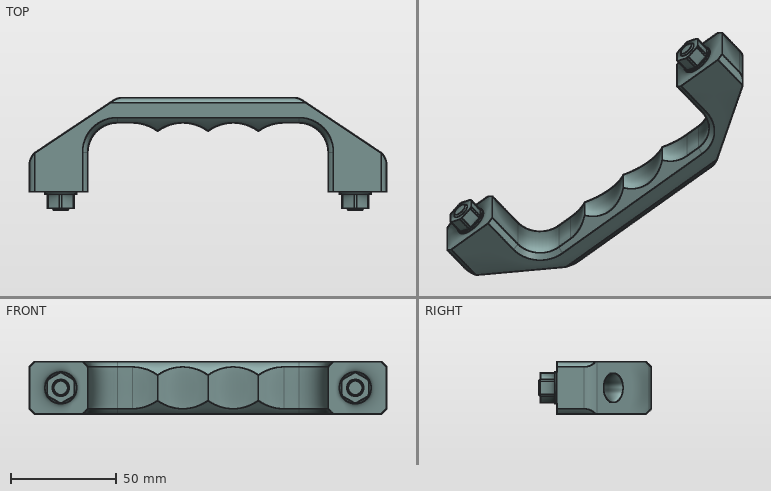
import cadquery as cq
import math

length = 170.0
height = 25.0
back_y = 44.9
edge_chamfer = 2.5

slope_angle = math.radians(33.7)
outer_corner_y = 16.8
shoulder_radius = 7.5

leg_width = 27.9
grip_thickness = 12.0
opening_radius = 14.0

scallop_count = 4
scallop_pitch = 24.0
ridge_height = 3.9

bolt_x = 70.0
bolt_diameter = 8.0
bolt_tip_diameter = 6.6
bolt_projection = 8.7
washer_diameter = 15.1
washer_thickness = 1.0
nut_across_flats = 13.0
nut_corner_diameter = 14.3
nut_height = 6.8
counterbore_diameter = 14.0
counterbore_floor_y = 10.2

half_length = length / 2
half_height = height / 2
opening_half = half_length - leg_width
opening_y = back_y - grip_thickness
back_half = half_length - (back_y - outer_corner_y) / math.tan(slope_angle)
selection_margin = 0.2


def make_bar():
    """Extruded outer outline with rounded shoulder corners."""
    outline = [
        (-half_length, 0),
        (half_length, 0),
        (half_length, outer_corner_y),
        (back_half, back_y),
        (-back_half, back_y),
        (-half_length, outer_corner_y),
    ]
    bar = cq.Workplane("XY").polyline(outline).close().extrude(half_height, both=True)
    return bar.edges("|Z").edges("not <Y").fillet(shoulder_radius)


def make_opening():
    """Prism of the hand opening, open towards -Y."""
    opening = cq.Workplane("XY").rect(2 * opening_half, 2 * opening_y).extrude(half_height, both=True)
    return opening.edges("|Z and >Y").fillet(opening_radius)


def chamfer_opening(body):
    """Bevel the edges of the hand opening on both broad faces."""
    around_opening = cq.selectors.BoxSelector(
        (-opening_half - selection_margin, -selection_margin, -height),
        (opening_half + selection_margin, opening_y + selection_margin, height),
    )
    return body.faces("|Z").edges("not <Y").edges(around_opening).chamfer(edge_chamfer)


def corner_wedge(plane, corner_u, corner_v):
    """Triangular prism that bevels one long straight edge by the edge chamfer."""
    inner_u = corner_u - math.copysign(edge_chamfer, corner_u)
    inner_v = corner_v - math.copysign(edge_chamfer, corner_v)
    triangle = [(corner_u, corner_v), (inner_u, corner_v), (corner_u, inner_v)]
    return cq.Workplane(plane).polyline(triangle).close().extrude(length, both=True)


def make_ridges():
    """Pointed ridges between circular scallops, bevelled by the planes of the inner chamfer."""
    ridge_y = opening_y - ridge_height
    scallop_radius = (scallop_pitch**2 / 4 + ridge_height**2) / (2 * ridge_height)
    span = (scallop_count - 1) * scallop_pitch
    face_half = half_height - edge_chamfer
    ridges = (
        cq.Workplane("YZ")
        .polyline([
            (opening_y, -face_half),
            (opening_y, face_half),
            (ridge_y, face_half - ridge_height),
            (ridge_y, ridge_height - face_half),
        ])
        .close()
        .extrude(span / 2, both=True)
    )
    for index in range(scallop_count):
        center = (index * scallop_pitch - span / 2, opening_y - scallop_radius)
        scallop = cq.Workplane("XY").center(*center).circle(scallop_radius).extrude(half_height, both=True)
        ridges = ridges.cut(scallop)
    return ridges


def disc(x, diameter, start_y, end_y):
    """Cylinder along Y at a bolt position."""
    start = cq.Workplane("XZ", origin=(x, start_y, 0))
    return start.circle(diameter / 2).extrude(start_y - end_y)


def make_fastener(x):
    """Washer, nut with rounded corners, and the bolt end that tapers beyond the nut."""
    nut_end_y = -washer_thickness - nut_height
    washer = disc(x, washer_diameter, 0, -washer_thickness)
    hexagon = (
        cq.Workplane("XZ", origin=(x, -washer_thickness, 0))
        .polygon(6, nut_across_flats, circumscribed=True)
        .extrude(nut_height)
    )
    nut = hexagon.intersect(disc(x, nut_corner_diameter, 0, nut_end_y))
    tip_length = bolt_projection - washer_thickness - nut_height
    tip = (
        cq.Workplane("XZ", origin=(x, nut_end_y, 0))
        .circle(bolt_diameter / 2)
        .workplane(offset=tip_length)
        .circle(bolt_tip_diameter / 2)
        .loft()
    )
    return washer.union(nut).union(tip)


result = chamfer_opening(make_bar().cut(make_opening()))
for z_side in (-1, 1):
    result = result.cut(corner_wedge("YZ", back_y, z_side * half_height))
    for x_side in (-1, 1):
        result = result.cut(corner_wedge("XZ", x_side * half_length, z_side * half_height))

result = result.union(make_ridges())

for x in (-bolt_x, bolt_x):
    result = result.cut(disc(x, counterbore_diameter, back_y, counterbore_floor_y))
    result = result.union(make_fastener(x))